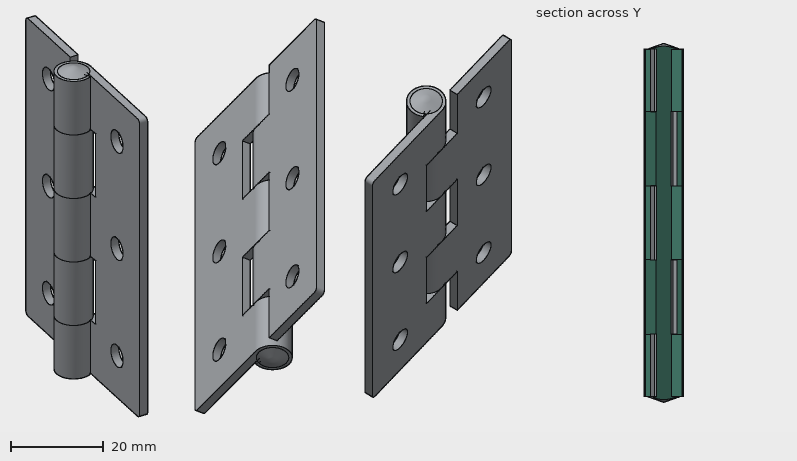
import cadquery as cq
import math

hinge_width = 50.0
hinge_height = 75.0
plate_thickness = 2.0
corner_radius = 1.0
notch_edge_x = 5.5

knuckle_radius = 4.25
bore_radius = knuckle_radius - plate_thickness
axis_y = -knuckle_radius
curl_end_angle = 29.0
inner_knuckle_height = 16.0
inner_knuckle_count = 3

hole_diameter = 5.3
hole_x = 15.0
hole_spacing = 27.0
hole_levels = (-hole_spacing, 0.0, hole_spacing)

pin_head_radius = 3.5
pin_head_height = 1.25

half_width = hinge_width / 2
half_height = hinge_height / 2
joint_half_span = inner_knuckle_count * inner_knuckle_height / 2

joint_levels = [i * inner_knuckle_height - joint_half_span for i in range(inner_knuckle_count + 1)]
knuckle_levels = [-half_height, *joint_levels, half_height]
knuckle_spans = list(zip(knuckle_levels[:-1], knuckle_levels[1:]))


def axis_point(radius, angle):
    """Point in the XY plane at a radius and an angle in degrees about the pin axis."""
    turn = math.radians(angle)
    return (radius * math.cos(turn), axis_y + radius * math.sin(turn))


def make_plate():
    """Flat part of the right leaf, with rounded outer corners and screw holes."""
    plate_width = half_width - notch_edge_x
    plate = (
        cq.Workplane("XY")
        .box(plate_width, plate_thickness, hinge_height)
        .translate((notch_edge_x + plate_width / 2, -plate_thickness / 2, 0))
        .edges("|Y and >X")
        .fillet(corner_radius)
    )
    holes = (
        cq.Workplane("XZ")
        .pushPoints([(hole_x, level) for level in hole_levels])
        .circle(hole_diameter / 2)
        .extrude(plate_thickness)
    )
    return plate.cut(holes)


def make_knuckle(bottom, top):
    """Strip of the right leaf that leaves the plate and curls around the pin."""
    middle_angle = (90.0 + 360.0 + curl_end_angle) / 2
    return (
        cq.Workplane("XY", origin=(0, 0, bottom))
        .moveTo(notch_edge_x, 0)
        .lineTo(0, 0)
        .threePointArc(axis_point(knuckle_radius, middle_angle), axis_point(knuckle_radius, curl_end_angle))
        .lineTo(*axis_point(bore_radius, curl_end_angle))
        .threePointArc(axis_point(bore_radius, middle_angle), axis_point(bore_radius, 90.0))
        .lineTo(notch_edge_x, -plate_thickness)
        .close()
        .extrude(top - bottom)
    )


def make_leaf(spans):
    """Right-hand leaf with a knuckle on each of the given height spans."""
    leaf = make_plate()
    for bottom, top in spans:
        leaf = leaf.union(make_knuckle(bottom, top))
    return leaf


def make_pin():
    """Pin filling the knuckle bores, with a conical head at each end."""
    head_tip = half_height + pin_head_height
    return (
        cq.Workplane("XZ")
        .moveTo(0, -head_tip)
        .lineTo(pin_head_radius, -half_height)
        .lineTo(bore_radius, -half_height)
        .lineTo(bore_radius, half_height)
        .lineTo(pin_head_radius, half_height)
        .lineTo(0, head_tip)
        .close()
        .revolve(360, (0, 0, 0), (0, 1, 0))
        .translate((0, axis_y, 0))
    )


right_leaf = make_leaf(knuckle_spans[0::2])
left_leaf = make_leaf(knuckle_spans[1::2]).mirror("YZ")
pin = make_pin()

result = cq.Compound.makeCompound([right_leaf.val(), left_leaf.val(), pin.val()])